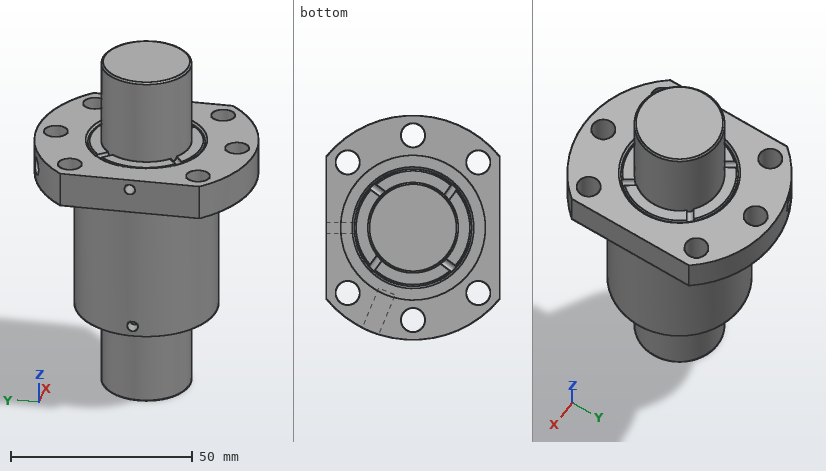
import cadquery as cq
import math

shaft_length = 100
shaft_diameter = 25
shaft_radius = shaft_diameter / 2
shaft_chamfer = 0.5

body_diameter = 40
body_length = 51
body_bottom = (shaft_length - body_length) / 2
body_top = body_bottom + body_length

flange_diameter = 62
flange_width = 48
flange_thickness = 10
flange_bottom = body_top - flange_thickness

bolt_hole_diameter = 6.6
bolt_circle_radius = 25.5
bolt_angles = (45, 90, 135, 225, 270, 315)
oil_hole_diameter = 4.9
oil_hole_depth = 12
oil_hole_angle = (90 + 135) / 2

seat_radius = 16.2
seat_chamfer = 0.6
wiper_chamfer = 0.5
wiper_recess = 0.3
wiper_slot_count = 4
wiper_slot_width = 2
wiper_slot_angle = 36
wiper_slot_offset = 2.6

pin_hole_diameter = 3
pin_hole_inset = 3


def make_cylinder(radius, bottom, height):
    return cq.Workplane("XY").workplane(offset=bottom).circle(radius).extrude(height)


def make_radial_hole(diameter, angle, height, inner_radius, outer_radius):
    direction = cq.Vector(math.cos(math.radians(angle)), math.sin(math.radians(angle)), 0)
    start = direction * inner_radius + cq.Vector(0, 0, height)
    return cq.Solid.makeCylinder(diameter / 2, outer_radius - inner_radius, start, direction)


def make_nut():
    body = make_cylinder(body_diameter / 2, body_bottom, body_length)
    flange = make_cylinder(flange_diameter / 2, flange_bottom, flange_thickness)
    flat_sides = (
        cq.Workplane("XY")
        .workplane(offset=flange_bottom)
        .rect(flange_width, flange_diameter)
        .extrude(flange_thickness)
    )
    bolt_points = [
        (
            bolt_circle_radius * math.cos(math.radians(angle)),
            bolt_circle_radius * math.sin(math.radians(angle)),
        )
        for angle in bolt_angles
    ]
    bolt_holes = (
        cq.Workplane("XY")
        .workplane(offset=flange_bottom)
        .pushPoints(bolt_points)
        .circle(bolt_hole_diameter / 2)
        .extrude(flange_thickness)
    )
    oil_hole = make_radial_hole(
        oil_hole_diameter,
        oil_hole_angle,
        flange_bottom + flange_thickness / 2,
        flange_diameter / 2 - oil_hole_depth,
        flange_diameter / 2,
    )
    return body.union(flange.intersect(flat_sides)).cut(bolt_holes).cut(oil_hole)


def make_seat_cut():
    """Shallow chamfered recess around the wiper ring at the top of the nut."""
    ring_top = body_top - wiper_recess
    profile = [
        (shaft_radius, body_top),
        (seat_radius + seat_chamfer, body_top),
        (seat_radius, body_top - seat_chamfer),
        (seat_radius, ring_top - wiper_chamfer),
        (seat_radius - wiper_chamfer, ring_top),
        (shaft_radius, ring_top),
    ]
    return (
        cq.Workplane("XZ")
        .polyline(profile)
        .close()
        .revolve(360, (0, 0, 0), (0, 1, 0))
    )


def make_wiper_slots():
    """Round-bottomed slots across the ring, offset from the shaft axis."""
    slots = cq.Workplane("XY")
    for index in range(wiper_slot_count):
        slot = cq.Solid.makeCylinder(
            wiper_slot_width / 2,
            seat_radius,
            cq.Vector(0, wiper_slot_offset, body_top - wiper_recess),
            cq.Vector(1, 0, 0),
        )
        angle = wiper_slot_angle + index * 360 / wiper_slot_count
        slots = slots.add(slot.rotate((0, 0, 0), (0, 0, 1), angle))
    ring_space = make_cylinder(seat_radius, body_bottom, body_length)
    return slots.combine().intersect(ring_space)


def make_pin_holes():
    heights = (body_bottom + pin_hole_inset, body_top - pin_hole_inset)
    holes = cq.Workplane("XY")
    for height in heights:
        holes = holes.add(
            make_radial_hole(pin_hole_diameter, 180, height, seat_radius, flange_width / 2)
        )
    return holes.combine()


shaft = make_cylinder(shaft_radius, 0, shaft_length).faces("<Z or >Z").chamfer(shaft_chamfer)

nut = make_nut().cut(make_pin_holes())
for end_cut in (make_seat_cut(), make_wiper_slots()):
    lower_cut = end_cut.mirror("XY", (0, 0, shaft_length / 2))
    nut = nut.cut(end_cut).cut(lower_cut)

result = nut.union(shaft)